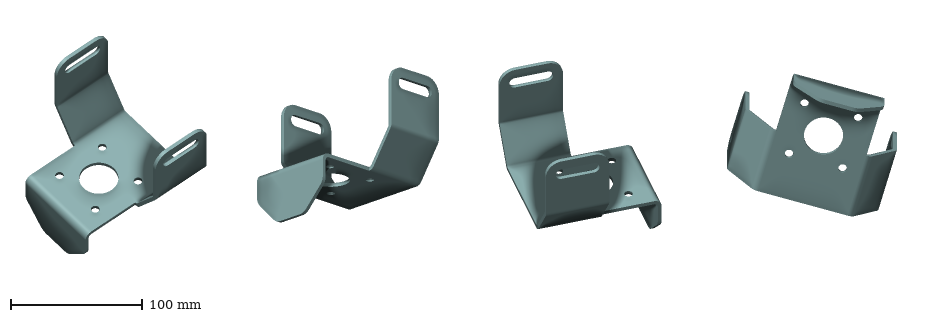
import cadquery as cq
import math

thickness = 3.0
inner_bend_radius = 3.0
outer_bend_radius = inner_bend_radius + thickness

overall_width = 120.0
overall_depth = 100.0
overall_height = 121.2

plate_width = 71.5
bore_diameter = 30.0
bore_y = -57.0
hole_diameter = 6.5
hole_pitch = 42.4

arm_top = 77.0
arm_depth = 50.7
arm_slope_angle = 55.0
arm_corner_radius = 12.5
slot_length = 35.0
slot_width = 9.1
slot_z = arm_top - arm_corner_radius

flap_bottom = arm_top - overall_height
flap_chamfer = 21.0
flap_corner_radius = 10.0


def trough(offset, bend_radius, top):
    """Solid bounded by the outer faces of plate and arms moved inward by offset."""
    slope = math.radians(arm_slope_angle)
    low_x = plate_width / 2 + outer_bend_radius * math.tan(slope / 2)
    high_x = overall_width / 2
    low_z = -thickness
    high_z = low_z + (high_x - low_x) * math.tan(slope)
    low_x -= offset * math.tan(slope / 2)
    low_z += offset
    high_x -= offset
    high_z += offset * math.tan((math.pi / 2 - slope) / 2)
    outline = [
        (-high_x, top),
        (-high_x, high_z),
        (-low_x, low_z),
        (low_x, low_z),
        (high_x, high_z),
        (high_x, top),
    ]
    body = cq.Workplane("XZ").polyline(outline).close().extrude(arm_depth)
    return body.edges("|Y").edges("not >Z").fillet(bend_radius)


def make_arms():
    clearance = 12.1
    outside = trough(0, outer_bend_radius, arm_top)
    inside = trough(thickness, inner_bend_radius, arm_top + clearance)
    arms = outside.cut(inside)
    arms = arms.edges("|X").edges(">Z").fillet(arm_corner_radius)
    slots = (
        cq.Workplane("YZ")
        .center(-arm_depth / 2, slot_z)
        .slot2D(slot_length, slot_width)
        .extrude(overall_width, both=True)
    )
    return arms.cut(slots)


def make_plate_and_flap():
    profile = [
        (0, 0),
        (-overall_depth, 0),
        (-overall_depth, flap_bottom),
        (-overall_depth + thickness, flap_bottom),
        (-overall_depth + thickness, -thickness),
        (0, -thickness),
    ]
    body = cq.Workplane("YZ").polyline(profile).close().extrude(plate_width / 2, both=True)
    outer_corner = cq.selectors.NearestToPointSelector((0, -overall_depth, 0))
    inner_corner = cq.selectors.NearestToPointSelector((0, -overall_depth + thickness, -thickness))
    body = body.edges("|X").edges(outer_corner).fillet(outer_bend_radius)
    body = body.edges("|X").edges(inner_corner).fillet(inner_bend_radius)
    body = body.edges("|Y").edges("<Z").chamfer(flap_chamfer)

    chamfer_top = flap_bottom + flap_chamfer
    margin = 1.2
    lower_corners = cq.selectors.BoxSelector(
        (-plate_width, -overall_depth - margin, flap_bottom - margin),
        (plate_width, -overall_depth + thickness + margin, chamfer_top + margin),
    )
    return body.edges("|Y").edges(lower_corners).fillet(flap_corner_radius)


def make_holes():
    plate = cq.Workplane("XY").center(0, bore_y)
    bore = plate.circle(bore_diameter / 2).extrude(-thickness)
    mounting_holes = plate.rect(hole_pitch, hole_pitch, forConstruction=True).vertices()
    return bore.union(mounting_holes.circle(hole_diameter / 2).extrude(-thickness))


result = make_plate_and_flap().union(make_arms()).cut(make_holes())